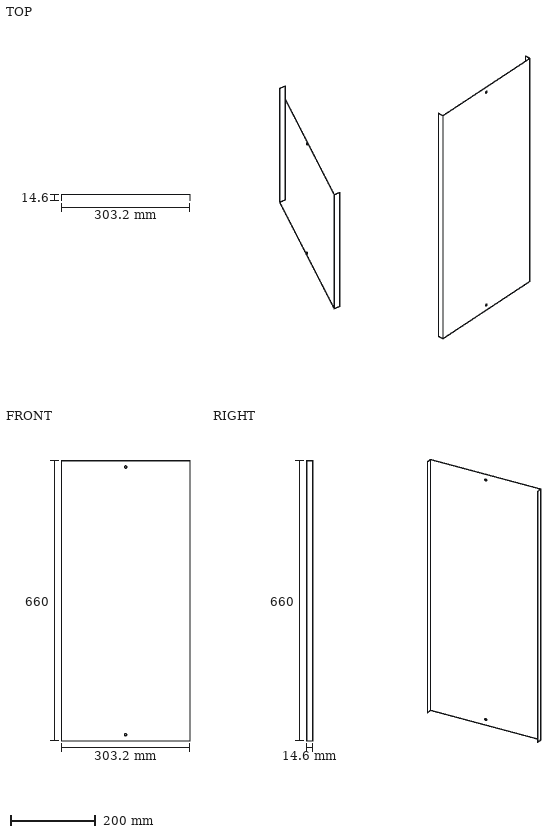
import cadquery as cq

width = 303.2
depth = 14.6
height = 660.0
sheet_thickness = 0.6

hole_diameter = 5.0
hole_end_distance = 15.0


def folded_sheet():
    """U-shaped channel, open toward -Y, centred on the origin."""
    outer = cq.Workplane("XY").box(width, depth, height)
    inside_width = width - 2 * sheet_thickness
    inside = cq.Workplane("XY").box(inside_width, depth, height)
    return outer.cut(inside.translate((0, -sheet_thickness, 0)))


def mounting_holes():
    """One cutter through the web near each end, on the centre line."""
    hole_offset = height / 2 - hole_end_distance
    return (
        cq.Workplane("XZ")
        .pushPoints([(0, hole_offset), (0, -hole_offset)])
        .circle(hole_diameter / 2)
        .extrude(depth, both=True)
    )


result = folded_sheet().cut(mounting_holes())